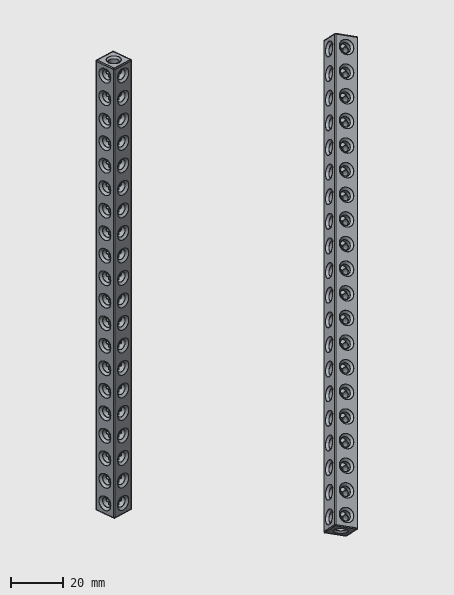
import cadquery as cq

length = 200.0
pitch = 10.0
edge_chamfer = 0.5
hole_diameter = 4.2
cross_hole_chamfer = 1.0
end_hole_chamfer = 0.8

hole_count = round(length / pitch)


def make_bar():
    """Square bar standing on the XY plane, with all outer edges chamfered."""
    bar = cq.Workplane("XY").box(pitch, pitch, length, centered=(True, True, False))
    return bar.edges().chamfer(edge_chamfer)


def make_hole_cutter(hole_length, mouth_chamfer):
    """Through-hole cutter along Z, centred on the origin, with a 45 degree chamfer at both mouths."""
    hole_radius = hole_diameter / 2
    mouth_radius = hole_radius + mouth_chamfer
    half_length = hole_length / 2
    straight_half = half_length - mouth_chamfer
    return (
        cq.Workplane("XZ")
        .moveTo(0, -half_length)
        .lineTo(mouth_radius, -half_length)
        .lineTo(hole_radius, -straight_half)
        .lineTo(hole_radius, straight_half)
        .lineTo(mouth_radius, half_length)
        .lineTo(0, half_length)
        .close()
        .revolve(360, (0, 0), (0, 1))
    )


end_hole = make_hole_cutter(length, end_hole_chamfer).translate((0, 0, length / 2))
result = make_bar().cut(end_hole)

cross_hole = make_hole_cutter(pitch, cross_hole_chamfer)
hole_along_x = cross_hole.rotate((0, 0, 0), (0, 1, 0), 90)
hole_along_y = cross_hole.rotate((0, 0, 0), (1, 0, 0), 90)
for index in range(hole_count):
    hole_position = (0, 0, (index + 0.5) * pitch)
    result = result.cut(hole_along_x.translate(hole_position))
    result = result.cut(hole_along_y.translate(hole_position))